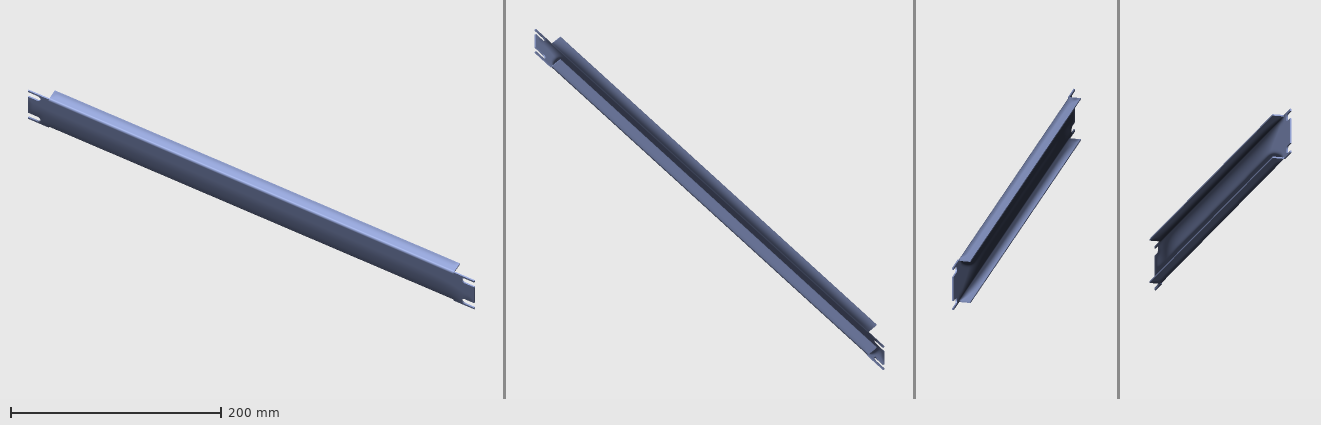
import cadquery as cq

panel_length = 482.5
panel_height = 43.5
panel_depth = 12.5
sheet_thickness = 1.5
inner_bend_radius = 1.0
ear_length = 22.0
slot_width = 7.0
slot_depth = 13.5
slot_spacing = 32.0

outer_bend_radius = inner_bend_radius + sheet_thickness
flange_length = panel_length - 2 * ear_length


def channel():
    """U-shaped folded sheet with its open side toward +Y."""
    outside = (
        cq.Workplane("XY")
        .box(flange_length, panel_depth, panel_height, centered=(True, False, True))
        .edges("|X and <Y")
        .fillet(outer_bend_radius)
    )
    inside = (
        cq.Workplane("XY")
        .box(
            flange_length,
            panel_depth,
            panel_height - 2 * sheet_thickness,
            centered=(True, False, True),
        )
        .edges("|X and <Y")
        .fillet(inner_bend_radius)
        .translate((0, sheet_thickness, 0))
    )
    return outside.cut(inside)


def ear(side):
    """Flat full-height ear at one end; side is -1 or +1 along X."""
    center_x = side * (panel_length - ear_length) / 2
    return (
        cq.Workplane("XY")
        .box(ear_length, sheet_thickness, panel_height, centered=(True, False, True))
        .translate((center_x, 0, 0))
    )


def mounting_slots():
    """Round-ended slots, open at both ends of the panel."""
    centers = [
        (side_x * panel_length / 2, side_z * slot_spacing / 2)
        for side_x in (-1, 1)
        for side_z in (-1, 1)
    ]
    return (
        cq.Workplane("XZ")
        .pushPoints(centers)
        .slot2D(2 * slot_depth, slot_width)
        .extrude(-sheet_thickness)
    )


result = channel().union(ear(-1)).union(ear(1)).cut(mounting_slots())